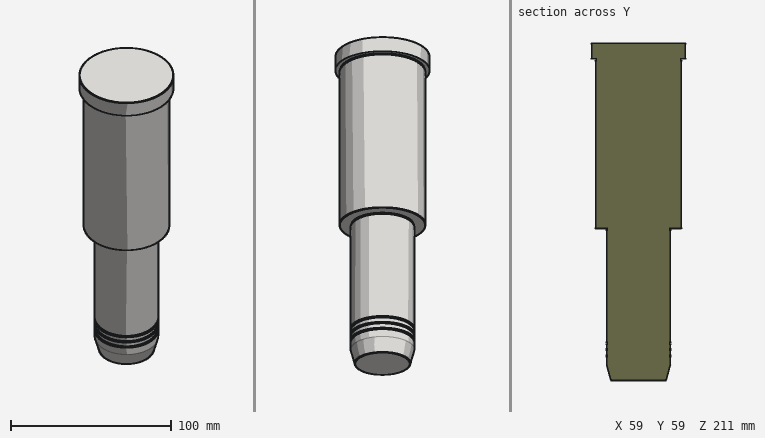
import cadquery as cq
import math

total_length = 211
head_diameter = 59
head_height = 10.0
head_edge_chamfer = 0.5

shank_diameter = 54.0
shank_bottom = 95
shank_end_chamfer = 0.5

relief_depth = 0.5
relief_width = 1.0

pin_diameter = 40
tip_height = 10.0
tip_taper_angle = 15
tip_edge_chamfer = 0.5

groove_count = 3
groove_pitch = 4.0
groove_width = 1.0
groove_depth = 0.5
lowest_groove_center = 15.5


def cylinder(diameter, bottom, top):
    """Solid cylinder on the Z axis between two heights."""
    return cq.Workplane("XY").workplane(offset=bottom).circle(diameter / 2).extrude(top - bottom)


def ring_cut(diameter, depth, bottom, width):
    """Ring that removes the given depth from a cylinder's surface."""
    return cylinder(diameter + 2 * depth, bottom, bottom + width).cut(
        cylinder(diameter - 2 * depth, bottom, bottom + width)
    )


def make_head():
    head = cylinder(head_diameter, total_length - head_height, total_length)
    return head.faces(">Z").edges().chamfer(head_edge_chamfer)


def make_shank():
    shank_top = total_length - head_height
    shank = cylinder(shank_diameter, shank_bottom, shank_top)
    shank = shank.faces("<Z").edges().chamfer(shank_end_chamfer)
    return shank.cut(ring_cut(shank_diameter, relief_depth, shank_top - relief_width, relief_width))


def make_pin():
    pin = cylinder(pin_diameter, tip_height, shank_bottom)
    pin = pin.cut(ring_cut(pin_diameter, relief_depth, shank_bottom - relief_width, relief_width))
    for index in range(groove_count):
        groove_bottom = lowest_groove_center + index * groove_pitch - groove_width / 2
        pin = pin.cut(ring_cut(pin_diameter, groove_depth, groove_bottom, groove_width))
    return pin


def make_tip():
    pin_radius = pin_diameter / 2
    end_radius = pin_radius - tip_height * math.tan(math.radians(tip_taper_angle))
    profile = (
        cq.Workplane("XZ")
        .lineTo(end_radius, 0)
        .lineTo(pin_radius, tip_height)
        .lineTo(0, tip_height)
        .close()
    )
    tip = profile.revolve(360, (0, 0, 0), (0, 1, 0))
    return tip.faces("<Z").edges().chamfer(tip_edge_chamfer)


result = make_head().union(make_shank()).union(make_pin()).union(make_tip())